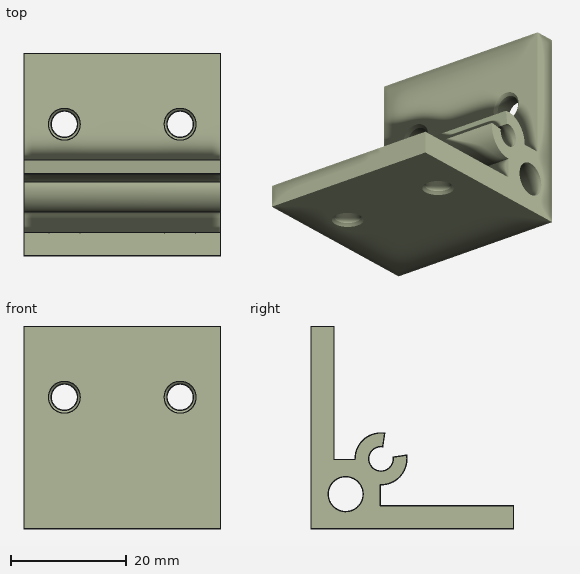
import cadquery as cq
import math

length = 34.0
leg = 35.0
plate = 4.0
block = 12.0
bore_diameter = 6.0
clip_center = 12.1
clip_outer_radius = 4.5
clip_inner_radius = 2.1
clip_gap_angle = 73.0
screw_diameter = 4.5
screw_spacing = 20.0
screw_offset = 22.75
screw_chamfer = 0.5


def on_circle(radius, degrees):
    """Point of the YZ section on a circle about the clip axis."""
    angle = math.radians(degrees)
    return (clip_center + radius * math.cos(angle), clip_center + radius * math.sin(angle))


def make_bracket_body():
    """L-shaped section with the corner block, extruded along X."""
    return (
        cq.Workplane("YZ")
        .moveTo(0, 0)
        .lineTo(leg, 0)
        .lineTo(leg, plate)
        .lineTo(block, plate)
        .lineTo(block, block)
        .lineTo(plate, block)
        .lineTo(plate, leg)
        .lineTo(0, leg)
        .close()
        .extrude(length)
    )


def make_clip():
    """C-shaped ring whose gap points along the diagonal, away from the corner."""
    diagonal = 45.0
    gap_start = diagonal - clip_gap_angle / 2
    gap_end = diagonal + clip_gap_angle / 2
    opposite = diagonal + 180.0
    return (
        cq.Workplane("YZ")
        .moveTo(*on_circle(clip_outer_radius, gap_end))
        .threePointArc(on_circle(clip_outer_radius, opposite), on_circle(clip_outer_radius, gap_start))
        .lineTo(*on_circle(clip_inner_radius, gap_start))
        .threePointArc(on_circle(clip_inner_radius, opposite), on_circle(clip_inner_radius, gap_end))
        .close()
        .extrude(length)
    )


def make_lengthwise_cylinder(center, radius):
    """Cylinder along X through the whole part, centred at (center, center)."""
    return cq.Workplane("YZ").center(center, center).circle(radius).extrude(length)


def make_screw_cutter(x):
    """Vertical cutter for the base plate: a through hole, chamfered at both faces."""
    radius = screw_diameter / 2
    mouth_radius = radius + screw_chamfer
    return (
        cq.Workplane("XZ")
        .moveTo(0, 0)
        .lineTo(mouth_radius, 0)
        .lineTo(radius, screw_chamfer)
        .lineTo(radius, plate - screw_chamfer)
        .lineTo(mouth_radius, plate)
        .lineTo(0, plate)
        .close()
        .revolve(360, (0, 0, 0), (0, 1, 0))
        .translate((x, screw_offset, 0))
    )


def turn_to_upright(cutter):
    """Move a base plate cutter to the upright plate by mirroring it in the diagonal plane."""
    return cutter.rotate((0, 0, 0), (1, 0, 0), 90).mirror("XZ")


bracket = make_bracket_body()
bracket = bracket.cut(make_lengthwise_cylinder(clip_center, clip_inner_radius))
bracket = bracket.union(make_clip())
bracket = bracket.cut(make_lengthwise_cylinder(block / 2, bore_diameter / 2))

for side in (-1, 1):
    screw_cutter = make_screw_cutter(length / 2 + side * screw_spacing / 2)
    bracket = bracket.cut(screw_cutter)
    bracket = bracket.cut(turn_to_upright(screw_cutter))

result = bracket